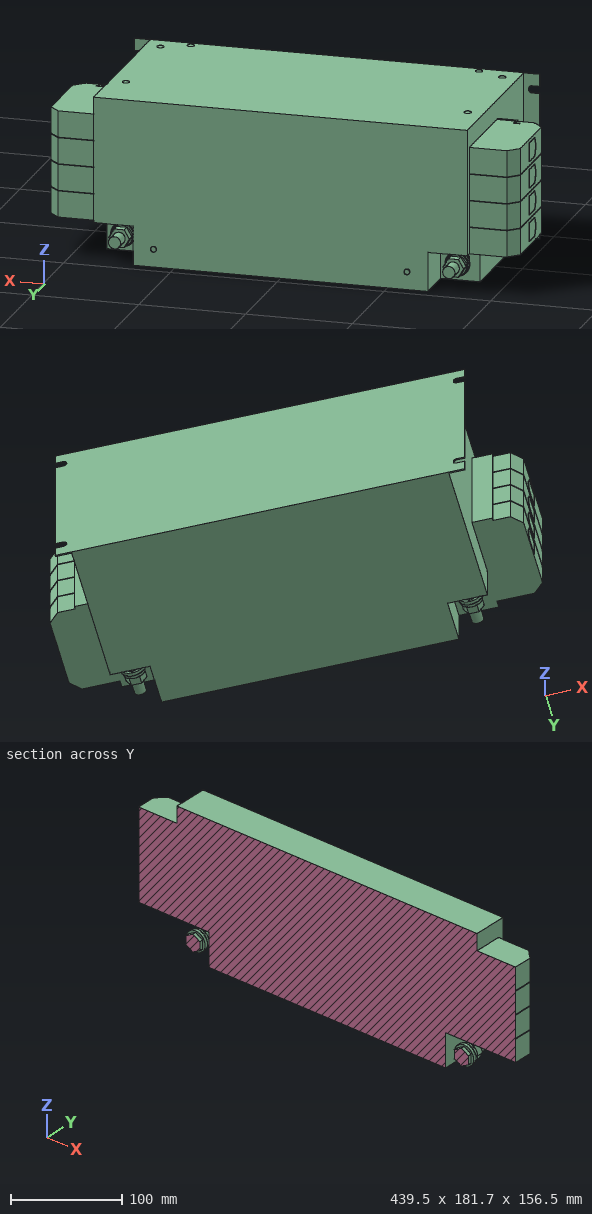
import cadquery as cq
import math

total_length = 439.5
body_length = 350.0
body_depth = 180.2
body_height = 155.0

plate_length = 380.0
plate_thickness = 1.5
slot_width = 6.5
slot_depth = 10.5
slot_edge_distance = 15.0

module_count = 4
module_height = 25.0
terminal_height = module_count * module_height
terminal_bottom = 37.0
terminal_rear = 173.5
terminal_depth = 87.0
terminal_front = terminal_rear - terminal_depth
terminal_chamfer = 9.5
joint_width = 0.5
joint_depth = 0.2

entry_rear = 134.0
entry_shoulder = 117.5
entry_tip = 113.5
entry_height = 17.5
entry_depth = 0.5

strip_end = 194.0
strip_thickness = 2.5
hook_thickness = 1.5
hook_reach = 9.2
hook_lip = 4.5
strip_proud = 0.2

recess_height = terminal_bottom
recess_length = recess_height
recess_floor = 139.5
stud_diameter = 11.5
stud_end = 176.3
hexagon_diameter = 19.5
head_thickness = 8.0
washer_diameter = 22.5
washer_thickness = 3.5
spring_washer_diameter = 20.2
spring_washer_thickness = 3.5
nut_thickness = 8.0

dome_radius = 3.3
dome_height = 1.5
dome_places = [(160.0, 128.5), (160.0, 19.0), (135.0, 7.5)]
rear_head_diameter = 5.3
rear_head_height = 1.5
rear_head_x = 118.5
rear_head_z = 17.0

body_end = body_length / 2
terminal_end = total_length / 2
EMBED = 1.0
NUT_TURN = 30


def block(x_range, y_range, z_range):
    """Box between two limits along each axis."""
    (x0, x1), (y0, y1), (z0, z1) = x_range, y_range, z_range
    return cq.Workplane("XY").box(x1 - x0, y1 - y0, z1 - z0, centered=False).translate((x0, y0, z0))


def both_ends(piece):
    """The given left-hand piece together with its mirror image on the right."""
    return piece.union(piece.mirror("YZ"))


def make_body():
    """Closed box with the mounting plate across its front."""
    body = block((-body_end, body_end), (0, body_depth), (0, body_height))
    plate = block((-plate_length / 2, plate_length / 2), (0, plate_thickness), (0, body_height))
    return body.union(plate)


def mounting_slots():
    """Round-ended slots open to the side edges of the mounting plate."""
    centers = [
        (side * plate_length / 2, z)
        for side in (-1, 1)
        for z in (slot_edge_distance, body_height - slot_edge_distance)
    ]
    return (
        cq.Workplane("XZ").pushPoints(centers).slot2D(2 * slot_depth, slot_width)
        .extrude(-plate_thickness)
    )


def terminal_outline(inset=0.0):
    """Plan outline of the left terminal block, moved inwards by the inset."""
    outer = -terminal_end + inset
    inner = -body_end + EMBED
    front = terminal_front + inset
    rear = terminal_rear - inset
    chamfer = terminal_chamfer - inset * (2 - math.sqrt(2))
    return cq.Workplane("XY").polyline([
        (inner, front),
        (outer + chamfer, front),
        (outer, front + chamfer),
        (outer, rear - chamfer),
        (outer + chamfer, rear),
        (inner, rear),
    ]).close()


def cable_entry(z):
    """Shallow cable opening in the end face of the module centred at height z."""
    half = entry_height / 2
    return (
        cq.Workplane("YZ").workplane(offset=-terminal_end)
        .moveTo(entry_shoulder, z - half)
        .lineTo(entry_rear, z - half)
        .lineTo(entry_rear, z + half)
        .lineTo(entry_shoulder, z + half)
        .lineTo(entry_tip, z)
        .close().extrude(entry_depth)
    )


def make_terminal():
    """Left terminal block: stacked modules with fine joints between them."""
    terminal = terminal_outline().extrude(terminal_height)
    for joint in range(1, module_count):
        outside = terminal_outline().extrude(joint_width)
        core = terminal_outline(joint_depth).extrude(joint_width)
        groove = outside.cut(core).translate((0, 0, joint * module_height - joint_width / 2))
        terminal = terminal.cut(groove)
    terminal = terminal.translate((0, 0, terminal_bottom))
    for module in range(module_count):
        terminal = terminal.cut(cable_entry(terminal_bottom + (module + 0.5) * module_height))
    return terminal


def make_strip():
    """Left cover strip, whose outer edge hooks back into the terminal block."""
    strip_front = terminal_front - strip_thickness
    z_range = (terminal_bottom, terminal_bottom + terminal_height + strip_proud)
    strip = block((-strip_end, -body_end + EMBED), (strip_front, terminal_front), z_range)
    hook_rear = strip_front + hook_reach
    leg = block((-strip_end, -strip_end + hook_thickness), (strip_front, hook_rear), z_range)
    lip = block((-strip_end - hook_lip, -strip_end), (hook_rear - hook_thickness, hook_rear), z_range)
    return strip.union(leg).union(lip)


def make_recess():
    """Left corner recess, open to the end, the rear and the bottom."""
    return block(
        (-body_end, -body_end + recess_length),
        (recess_floor, body_depth),
        (0, recess_height),
    )


def along_y(start):
    """Sketch plane across the left earth stud, facing the rear."""
    origin = (-body_end + recess_length / 2, start, recess_height / 2)
    return cq.Workplane(cq.Plane(origin=origin, xDir=(0, 0, 1), normal=(0, 1, 0)))


def make_stud():
    """Left earth stud: hexagon head, two washers, nut and protruding rod."""
    washer_start = recess_floor + head_thickness
    spring_start = washer_start + washer_thickness
    nut_start = spring_start + spring_washer_thickness
    rod = along_y(recess_floor - EMBED).circle(stud_diameter / 2).extrude(stud_end - recess_floor + EMBED)
    head = along_y(recess_floor).polygon(6, hexagon_diameter).extrude(head_thickness)
    washer = along_y(washer_start).circle(washer_diameter / 2).extrude(washer_thickness)
    spring = along_y(spring_start).circle(spring_washer_diameter / 2).extrude(spring_washer_thickness)
    nut = (
        along_y(nut_start).transformed(rotate=(0, 0, NUT_TURN))
        .polygon(6, hexagon_diameter).extrude(nut_thickness)
    )
    return rod.union(head).union(washer).union(spring).union(nut)


def dome_shoulder():
    """Point halfway along the arc of a screw head, as (radius, height)."""
    sphere_radius = (dome_radius**2 + dome_height**2) / (2 * dome_height)
    half_angle = math.asin(dome_radius / sphere_radius) / 2
    drop = sphere_radius * (1 - math.cos(half_angle))
    return sphere_radius * math.sin(half_angle), dome_height - drop


def make_domes():
    """Domed screw heads on the top, on the left half."""
    profile = (
        cq.Workplane("XZ")
        .moveTo(0, -EMBED)
        .lineTo(dome_radius, -EMBED)
        .lineTo(dome_radius, 0)
        .threePointArc(dome_shoulder(), (0, dome_height))
        .close()
    )
    dome = profile.revolve(360, (0, 0, 0), (0, 1, 0)).val()
    places = [(-x, y, body_height) for x, y in dome_places]
    return cq.Workplane("XY").pushPoints(places).eachpoint(dome, combine=False).combine()


def make_rear_head():
    """Flat screw head on the rear face, on the left half."""
    return (
        cq.Workplane("XZ", origin=(-rear_head_x, body_depth, rear_head_z))
        .circle(rear_head_diameter / 2).extrude(-rear_head_height)
    )


result = make_body().cut(mounting_slots()).cut(both_ends(make_recess()))
for piece in (make_terminal(), make_strip(), make_stud(), make_domes(), make_rear_head()):
    result = result.union(both_ends(piece))